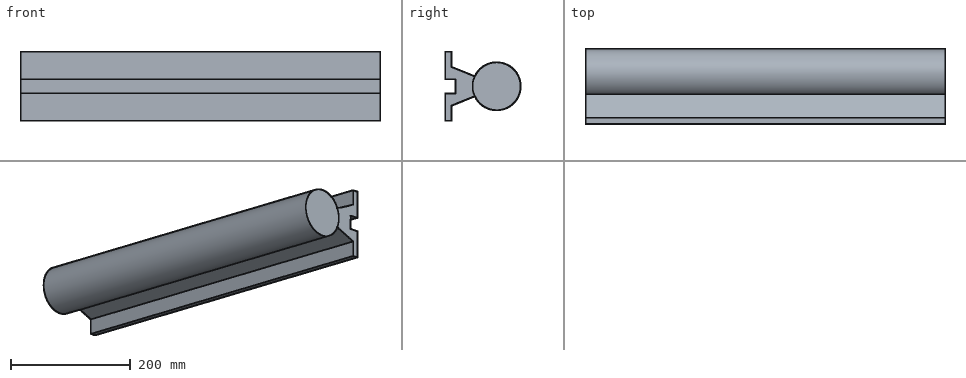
import cadquery as cq
import math

length = 600.0

bar_diameter = 80.5
bar_radius = bar_diameter / 2

overall_depth = 126.0
rail_height = 116.0
plate_thickness = 11.0
slot_height = 23.5
slot_depth = 17.0
neck_root_height = 65.0
neck_tip_height = 33.5

bar_center_y = overall_depth - bar_radius
bar_front_y = bar_center_y - bar_radius
neck_tip_y = bar_center_y - math.sqrt(bar_radius**2 - (neck_tip_height / 2) ** 2)


def make_bar():
    """Solid cylinder lying along X."""
    return cq.Workplane("YZ").center(bar_center_y, 0).circle(bar_radius).extrude(length)


def make_rail():
    """Slotted plate with a tapered neck whose concave tip cradles the bar."""
    return (
        cq.Workplane("YZ")
        .moveTo(0, slot_height / 2)
        .lineTo(0, rail_height / 2)
        .lineTo(plate_thickness, rail_height / 2)
        .lineTo(plate_thickness, neck_root_height / 2)
        .lineTo(neck_tip_y, neck_tip_height / 2)
        .threePointArc((bar_front_y, 0), (neck_tip_y, -neck_tip_height / 2))
        .lineTo(plate_thickness, -neck_root_height / 2)
        .lineTo(plate_thickness, -rail_height / 2)
        .lineTo(0, -rail_height / 2)
        .lineTo(0, -slot_height / 2)
        .lineTo(slot_depth, -slot_height / 2)
        .lineTo(slot_depth, slot_height / 2)
        .close()
        .extrude(length)
    )


bar = make_bar()
rail = make_rail()

result = cq.Compound.makeCompound([bar.val(), rail.val()])